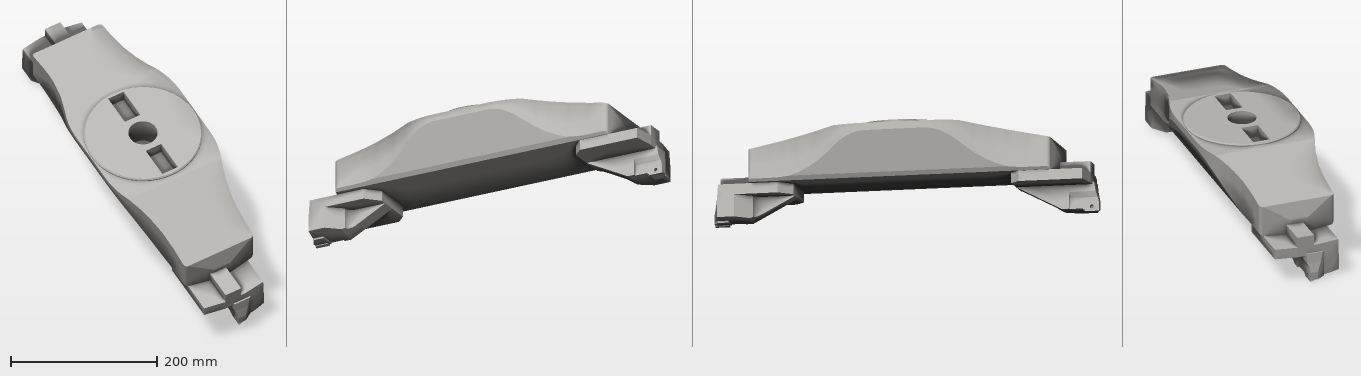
import cadquery as cq
import math

TOTAL_LENGTH = 540.0
BOTTOM_Z = -51.5

BRIDGE_WIDTH = 164.0
BRIDGE_HEIGHT = 69.5
CENTRE_FLAT_HALF = 40.5
TOP_BREAK_X = 88.0
TOP_BREAK_HALF_WIDTH = 73.0
ARM_START_X = 182.0
ARM_HALF_WIDTH = 54.5
ARM_END_X = 211.5
ARM_END_HEIGHT = 45.0
ARM_CORNER_LENGTH = 5.5
ARM_CORNER_DEPTH = 4.5
NOSE_X = 219.0
NOSE_HALF_WIDTH = 12.5
NOSE_HEIGHT = 21.5
FLANK_TOP_Z = 59.5
FLANK_FOOT_Z = 5.5
FLANK_FOOT_HALF_WIDTH = 56.0
UNDERSIDE_HALF_WIDTH = 51.0

DISC_DIAMETER = 162.0
DISC_TOP_Z = 73.0
DISC_CHAMFER = 1.5
BORE_DIAMETER = 40.0
BORE_DEPTH = 43.0
KEY_POCKET_LENGTH = 46.0
KEY_POCKET_WIDTH = 24.5
KEY_POCKET_DEPTH = 18.0
KEY_POCKET_X = 52.0

SLIDE_INNER_X = -154.0
SLIDE_OUTER_X = -261.0
SLIDE_FRONT_Y = -43.0
SLIDE_BACK_Y = 49.5
SLIDE_OUTER_FRONT_X = -256.0
SLIDE_OUTER_BACK_X = -256.0
SLIDE_INNER_FRONT_CHAMFER = 18.5
SLIDE_INNER_BACK_CHAMFER = 13.0
PLATE_THICKNESS = 14.5
TONGUE_WIDTH = 24.5
TONGUE_CENTRE_Y = 6.5
TONGUE_HEIGHT = 15.0
END_EDGE_Y = -13.5
END_TILT = 4.0
RELIEF_CORNER_X = -257.5
RELIEF_OUTER_X = -264.0
BEVEL_START_X = -233.5
BEVEL_END_X = -210.5
BEVEL_END_Y = -26.0
RIB_FILLET = 11.0
RIB_BACK_Y = 6.0
FOOT_FRONT_Z = -45.5
FOOT_BACK_Z = -47.5
RIB_SLOPE_END_X = -217.5

CARTRIDGE_INNER_X = -228.0
CARTRIDGE_FRONT_Y = -20.0
CARTRIDGE_TOP_Z = -11.5
CARTRIDGE_TOP_END_X = -263.0
SEAT_CEILING_Z = -24.5
CARTRIDGE_BEND_X = -265.0
CARTRIDGE_SHOULDER_Z = -38.0
CARTRIDGE_END_X = -269.0
CARTRIDGE_STEP_X = -247.0
CARTRIDGE_BOTTOM_Z = -49.0
CARTRIDGE_CORNER_Y = -8.5
CARTRIDGE_CORNER_X = -261.5
SEAT_Y = 2.5
SEAT_TOP_Z = -32.0

INSERT_SIDE = 21.5
INSERT_THICKNESS = 5.5
INSERT_CLEARANCE = 7.0
INSERT_HOLE = 5.5

LONG = 2 * TOTAL_LENGTH

tongue_front_y = TONGUE_CENTRE_Y - TONGUE_WIDTH / 2
tongue_back_y = TONGUE_CENTRE_Y + TONGUE_WIDTH / 2
tongue_length = SLIDE_INNER_X - SLIDE_OUTER_X
rib_front_y = BEVEL_END_Y + RIB_FILLET
insert_inradius = INSERT_SIDE / (2 * math.sqrt(3))


def opposite(body):
    """The same body at the other end of the bridge, half a turn about Z."""
    return body.rotate((0, 0, 0), (0, 0, 1), 180)


def tangent_arc_middle(flat_end, other_end):
    """Middle point of an arc that runs along X at flat_end and reaches other_end."""
    dx = other_end[0] - flat_end[0]
    dy = other_end[1] - flat_end[1]
    radius = (dx ** 2 + dy ** 2) / (2 * dy)
    half_angle = math.atan(dy / dx)
    return (
        flat_end[0] + radius * math.sin(half_angle),
        flat_end[1] + radius * (1 - math.cos(half_angle)),
    )


def bridge_plan():
    """Full-height prism with the bridge outline as seen from above."""
    half_width = BRIDGE_WIDTH / 2
    centre_end = (CENTRE_FLAT_HALF, half_width)
    reversal = (TOP_BREAK_X, TOP_BREAK_HALF_WIDTH)
    arm_start = (ARM_START_X, ARM_HALF_WIDTH)
    quarter = (
        cq.Workplane("XY")
        .lineTo(0, half_width)
        .lineTo(*centre_end)
        .threePointArc(tangent_arc_middle(centre_end, reversal), reversal)
        .threePointArc(tangent_arc_middle(arm_start, reversal), arm_start)
        .lineTo(ARM_END_X - ARM_CORNER_LENGTH, ARM_HALF_WIDTH)
        .tangentArcPoint((ARM_END_X, ARM_HALF_WIDTH - ARM_CORNER_DEPTH), relative=False)
        .lineTo(NOSE_X, NOSE_HALF_WIDTH)
        .lineTo(NOSE_X, 0)
        .close()
        .extrude(BRIDGE_HEIGHT)
    )
    half = quarter.union(quarter.mirror("XZ"))
    return half.union(half.mirror("YZ")).clean()


def bridge_side_profile():
    """Prism across the bridge: flat middle, sloping arms, slanted noses."""
    right = [
        (TOP_BREAK_X, BRIDGE_HEIGHT),
        (ARM_END_X, ARM_END_HEIGHT),
        (NOSE_X, NOSE_HEIGHT),
        (NOSE_X, 0),
    ]
    left = [(-x, z) for x, z in reversed(right)]
    return cq.Workplane("XZ").polyline(right + left).close().extrude(LONG / 2, both=True)


def bridge_cross_section():
    """Prism along the bridge: upright edges, flanks leaning inward, chamfered foot."""
    back = [
        (BRIDGE_WIDTH / 2, BRIDGE_HEIGHT),
        (BRIDGE_WIDTH / 2, FLANK_TOP_Z),
        (FLANK_FOOT_HALF_WIDTH, FLANK_FOOT_Z),
        (UNDERSIDE_HALF_WIDTH, 0),
    ]
    front = [(-y, z) for y, z in reversed(back)]
    return cq.Workplane("YZ").polyline(back + front).close().extrude(LONG / 2, both=True)


def make_tongue():
    """Key on top of the slide at -X; the bridge has a matching slot."""
    return cq.Workplane("XY").box(
        tongue_length, TONGUE_WIDTH, TONGUE_HEIGHT, centered=(False, True, False)
    ).translate((SLIDE_OUTER_X, TONGUE_CENTRE_Y, 0))


def make_bridge():
    body = bridge_plan().intersect(bridge_side_profile()).intersect(bridge_cross_section())
    disc = (
        cq.Workplane("XY")
        .circle(DISC_DIAMETER / 2)
        .extrude(DISC_TOP_Z)
        .faces(">Z")
        .chamfer(DISC_CHAMFER)
        .intersect(cq.Workplane("XY").workplane(offset=FLANK_TOP_Z).rect(LONG, LONG).extrude(LONG))
    )
    bore = (
        cq.Workplane("XY")
        .workplane(offset=DISC_TOP_Z - BORE_DEPTH)
        .circle(BORE_DIAMETER / 2)
        .extrude(BORE_DEPTH)
    )
    key_pockets = (
        cq.Workplane("XY")
        .workplane(offset=DISC_TOP_Z - KEY_POCKET_DEPTH)
        .pushPoints([(-KEY_POCKET_X, 0), (KEY_POCKET_X, 0)])
        .rect(KEY_POCKET_LENGTH, KEY_POCKET_WIDTH)
        .extrude(KEY_POCKET_DEPTH)
    )
    slot = make_tongue()
    return body.union(disc).cut(bore).cut(key_pockets).cut(slot).cut(opposite(slot))


def slide_plate():
    return (
        cq.Workplane("XY")
        .polyline([
            (SLIDE_OUTER_X, tongue_front_y),
            (SLIDE_OUTER_X, tongue_back_y),
            (SLIDE_OUTER_BACK_X, SLIDE_BACK_Y),
            (SLIDE_INNER_X - SLIDE_INNER_BACK_CHAMFER, SLIDE_BACK_Y),
            (SLIDE_INNER_X, SLIDE_BACK_Y - SLIDE_INNER_BACK_CHAMFER),
            (SLIDE_INNER_X, SLIDE_FRONT_Y + SLIDE_INNER_FRONT_CHAMFER),
            (SLIDE_INNER_X - SLIDE_INNER_FRONT_CHAMFER, SLIDE_FRONT_Y),
            (SLIDE_OUTER_X, SLIDE_FRONT_Y),
        ])
        .close()
        .extrude(-PLATE_THICKNESS)
    )


def slide_block():
    """Foot of the slide with a bevelled front and a tapering rib towards the middle."""
    plan = (
        cq.Workplane("XY")
        .moveTo(SLIDE_OUTER_X, RIB_BACK_Y)
        .lineTo(SLIDE_OUTER_X, CARTRIDGE_FRONT_Y)
        .lineTo(RELIEF_OUTER_X, CARTRIDGE_FRONT_Y)
        .lineTo(RELIEF_CORNER_X, SLIDE_FRONT_Y)
        .lineTo(BEVEL_START_X, SLIDE_FRONT_Y)
        .lineTo(BEVEL_END_X, BEVEL_END_Y)
        .radiusArc((BEVEL_END_X + RIB_FILLET, rib_front_y), RIB_FILLET)
        .lineTo(SLIDE_INNER_X, rib_front_y)
        .lineTo(SLIDE_INNER_X, RIB_BACK_Y)
        .close()
        .extrude(BOTTOM_Z)
    )
    side_profile = (
        cq.Workplane("XZ")
        .polyline([
            (RELIEF_OUTER_X, -PLATE_THICKNESS),
            (SLIDE_INNER_X, -PLATE_THICKNESS),
            (RIB_SLOPE_END_X, FOOT_BACK_Z),
            (RIB_SLOPE_END_X, BOTTOM_Z),
            (RELIEF_OUTER_X, BOTTOM_Z),
        ])
        .close()
        .extrude(LONG / 2, both=True)
    )
    return plan.intersect(side_profile).intersect(above_foot())


def above_foot():
    """Everything above the gently tilted underside shared by slide and cartridge."""
    return (
        cq.Workplane("YZ")
        .polyline([
            (SLIDE_FRONT_Y, FOOT_FRONT_Z),
            (RIB_BACK_Y, FOOT_BACK_Z),
            (RIB_BACK_Y, 0),
            (SLIDE_FRONT_Y, 0),
        ])
        .close()
        .extrude(LONG / 2, both=True)
    )


def end_facet_cutter():
    """Wedge outside the slanted front end facet, which leans outward towards the foot."""
    facet_run = END_EDGE_Y - SLIDE_FRONT_Y
    facet_slope = (SLIDE_OUTER_FRONT_X - SLIDE_OUTER_X) / facet_run
    lean = BOTTOM_Z * math.tan(math.radians(END_TILT))

    reach = 2 * facet_run

    def outline(z, shift):
        plane = cq.Workplane("XY").workplane(offset=z)
        return plane.polyline([
            (SLIDE_OUTER_X + shift - facet_slope * reach, END_EDGE_Y + reach),
            (SLIDE_OUTER_X + shift + facet_slope * reach, END_EDGE_Y - reach),
            (SLIDE_OUTER_X - reach, END_EDGE_Y - reach),
            (SLIDE_OUTER_X - reach, END_EDGE_Y + reach),
        ]).close().wire().val()

    return cq.Workplane(cq.Solid.makeLoft([outline(0, 0), outline(BOTTOM_Z, lean)], True))


def cartridge_block():
    """Cartridge before the insert seat is cut to shape."""
    side_profile = (
        cq.Workplane("XZ")
        .polyline([
            (CARTRIDGE_INNER_X, CARTRIDGE_TOP_Z),
            (CARTRIDGE_TOP_END_X, CARTRIDGE_TOP_Z),
            (CARTRIDGE_BEND_X, SEAT_CEILING_Z),
            (CARTRIDGE_END_X, CARTRIDGE_SHOULDER_Z),
            (CARTRIDGE_END_X, CARTRIDGE_BOTTOM_Z),
            (CARTRIDGE_INNER_X, CARTRIDGE_BOTTOM_Z),
        ])
        .close()
        .extrude(LONG / 2, both=True)
    )
    step = (
        cq.Workplane("XZ")
        .rect(LONG, LONG)
        .extrude(LONG / 2, both=True)
        .translate((CARTRIDGE_STEP_X - LONG / 2, 0, 0))
    )
    plan = (
        cq.Workplane("XY")
        .polyline([
            (CARTRIDGE_INNER_X, RIB_BACK_Y),
            (CARTRIDGE_END_X, RIB_BACK_Y),
            (CARTRIDGE_END_X, CARTRIDGE_CORNER_Y),
            (CARTRIDGE_CORNER_X, CARTRIDGE_FRONT_Y),
            (CARTRIDGE_INNER_X, CARTRIDGE_FRONT_Y),
        ])
        .close()
        .extrude(BOTTOM_Z)
    )
    return plan.intersect(side_profile).intersect(above_foot().union(step))


def insert_face_plane():
    """Plane of the insert's large face, centred on the insert and facing -Y."""
    centre_x = -TOTAL_LENGTH / 2 + INSERT_SIDE / 2
    return cq.Workplane("XZ", origin=(centre_x, SEAT_Y, BOTTOM_Z + insert_inradius))


def insert_blank():
    """Equilateral insert without its hole, narrowing away from its large face."""
    relieved_inradius = insert_inradius - INSERT_THICKNESS * math.tan(math.radians(INSERT_CLEARANCE))

    def triangle(inradius):
        half_side = inradius * math.sqrt(3)
        return [(-half_side, -inradius), (half_side, -inradius), (0, 2 * inradius)]

    return (
        insert_face_plane()
        .polyline(triangle(insert_inradius))
        .close()
        .workplane(offset=INSERT_THICKNESS)
        .polyline(triangle(relieved_inradius))
        .close()
        .loft(ruled=True)
    )


def make_insert():
    hole = insert_face_plane().circle(INSERT_HOLE / 2).extrude(INSERT_THICKNESS)
    return insert_blank().cut(hole)


def seat_recess():
    """Recess in the back of the cartridge, with a sloping ceiling, that bares the insert."""
    return (
        cq.Workplane("YZ")
        .polyline([
            (RIB_BACK_Y, SEAT_CEILING_Z),
            (SEAT_Y, SEAT_TOP_Z),
            (SEAT_Y, BOTTOM_Z),
            (RIB_BACK_Y, BOTTOM_Z),
        ])
        .close()
        .extrude(LONG / 2, both=True)
    )


def make_cartridge():
    return cartridge_block().cut(seat_recess()).cut(insert_blank())


def make_slide():
    body = slide_plate().union(slide_block()).cut(end_facet_cutter())
    return body.union(make_tongue()).cut(cartridge_block())


bridge = make_bridge()
bodies = [bridge.val()]
for make_body in (make_slide, make_cartridge, make_insert):
    body = make_body()
    bodies.append(body.val())
    bodies.append(opposite(body).val())

result = cq.Compound.makeCompound(bodies)